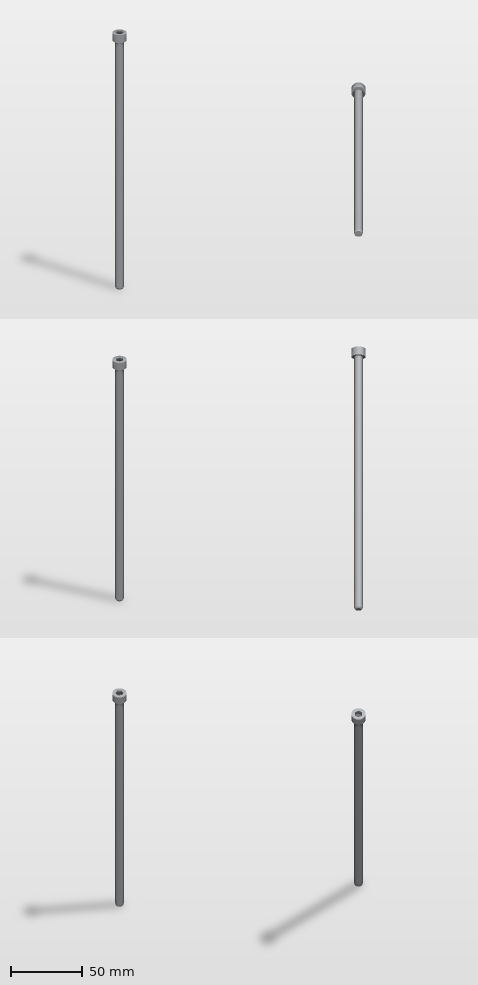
import cadquery as cq
import math

thread_diameter = 6.0
shank_length = 190.0
thread_length = 24.0
head_diameter = 10.0
head_height = 6.0

tip_diameter = 4.7
tip_chamfer_height = 1.0

socket_across_flats = 5.0
socket_depth = 3.0

shank_radius = thread_diameter / 2
head_radius = head_diameter / 2
tip_z = -shank_length


def make_body():
    """Head, plain shank, thread envelope and tip revolved as one profile."""
    profile = (
        cq.Workplane("XZ")
        .moveTo(0, head_height)
        .lineTo(head_radius, head_height)
        .lineTo(head_radius, 0)
        .lineTo(shank_radius, 0)
        .lineTo(shank_radius, tip_z + thread_length)
        .lineTo(shank_radius, tip_z + tip_chamfer_height)
        .lineTo(tip_diameter / 2, tip_z)
        .lineTo(0, tip_z)
        .close()
    )
    return profile.revolve(360, (0, 0, 0), (0, 1, 0), clean=False)


def make_socket():
    """Hexagonal prism that cuts the drive socket into the top of the head."""
    across_corners = socket_across_flats / math.cos(math.pi / 6)
    return (
        cq.Workplane("XY")
        .workplane(offset=head_height - socket_depth)
        .polygon(6, across_corners)
        .extrude(socket_depth)
    )


result = make_body().cut(make_socket(), clean=False).solids()